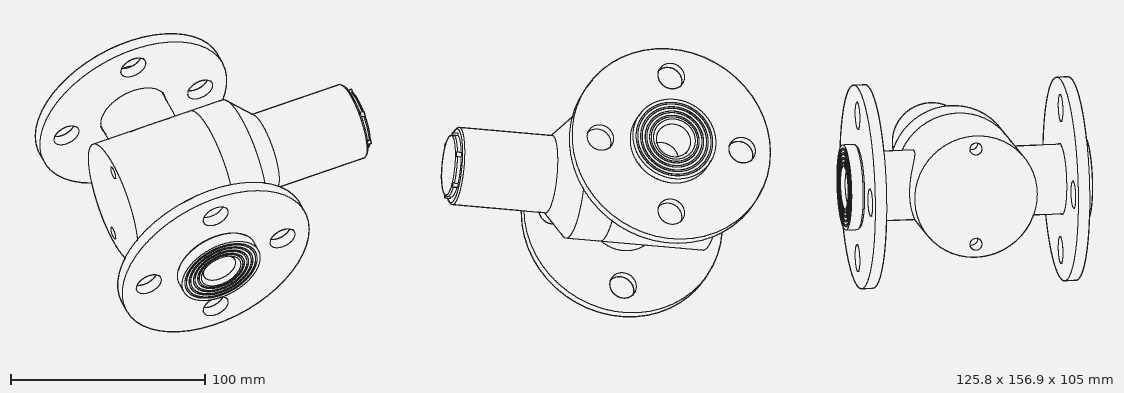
import cadquery as cq
import math


OVERALL_LENGTH = 156.9

HOUSING_DIAMETER = 64.0
HOUSING_FRONT_Y = -33.1
HOUSING_BACK_Y = 21.3
PIN_HOLE_DIAMETER = 6.3
PIN_HOLE_OFFSET = 25.1
PIN_HOLE_DEPTH = 12.5

OUTER_END_X = 62.9
PIPE_DIAMETER = 36.0
PIPE_BORE_DIAMETER = 18.0
BORE_FLOOR_X = 34.5
COLLAR_DIAMETER = 44.0
COLLAR_THICKNESS = 6.9
COLLAR_CHAMFER = 1.0
MOUTH_CHAMFER = 2.0
GROOVE_OUTER_DIAMETERS = (40.5, 35.8, 30.9, 26.2)
GROOVE_WIDTH = 0.86
GROOVE_DEPTH = 0.2
COLLAR_INNER_X = OUTER_END_X - COLLAR_THICKNESS

FLANGE_DIAMETER = 105.0
FLANGE_THICKNESS = 6.0
FLANGE_BORE_DIAMETER = 36.5
BOLT_CIRCLE_DIAMETER = 75.0
BOLT_HOLE_DIAMETER = 14.0
BOLT_HOLE_COUNT = 4

NECK_DIAMETER = 40.0
RIM_LENGTH = 18.0
NECK_END_Y = 101.5
NECK_CHAMFER = 1.0
CONE_START_Y = HOUSING_BACK_Y + RIM_LENGTH
CONE_LENGTH = (HOUSING_DIAMETER - NECK_DIAMETER) / 2

CAP_DIAMETER = 32.2
CAP_THICKNESS = OVERALL_LENGTH - FLANGE_DIAMETER / 2 - NECK_END_Y
CAP_CHAMFER_RADIAL = 0.6
CAP_CHAMFER_AXIAL = 1.0
RIB_DIAMETER = 2.5
RIB_TIP_DIAMETER = 34.2
RIB_TOP_SETBACK = 0.2
RIB_COUNT = 6


def cylinder_along_x(diameter, start, end):
    return cq.Workplane("YZ", origin=(start, 0, 0)).circle(diameter / 2).extrude(end - start)


def cylinder_along_y(diameter, start, end, x=0, z=0):
    plane = cq.Plane(origin=(x, start, z), xDir=(1, 0, 0), normal=(0, 1, 0))
    return cq.Workplane(plane).circle(diameter / 2).extrude(end - start)


def make_housing():
    housing = cylinder_along_y(HOUSING_DIAMETER, HOUSING_FRONT_Y, HOUSING_BACK_Y)
    for side in (-1, 1):
        housing = housing.cut(
            cylinder_along_y(
                PIN_HOLE_DIAMETER,
                HOUSING_FRONT_Y,
                HOUSING_FRONT_Y + PIN_HOLE_DEPTH,
                z=side * PIN_HOLE_OFFSET,
            )
        )
    return housing


def make_pipe_end():
    """Pipe on the +X side: blind bore, saddle at the inner end, grooved collar at the outer end."""
    profile = [
        (0, 0),
        (BORE_FLOOR_X, 0),
        (BORE_FLOOR_X, PIPE_BORE_DIAMETER / 2),
        (OUTER_END_X - MOUTH_CHAMFER, PIPE_BORE_DIAMETER / 2),
        (OUTER_END_X, PIPE_BORE_DIAMETER / 2 + MOUTH_CHAMFER),
        (OUTER_END_X, COLLAR_DIAMETER / 2),
        (COLLAR_INNER_X + COLLAR_CHAMFER, COLLAR_DIAMETER / 2),
        (COLLAR_INNER_X, COLLAR_DIAMETER / 2 - COLLAR_CHAMFER),
        (COLLAR_INNER_X, PIPE_DIAMETER / 2),
        (0, PIPE_DIAMETER / 2),
    ]
    pipe_end = cq.Workplane("XY").polyline(profile).close().revolve(360, (0, 0, 0), (1, 0, 0))
    pipe_end = pipe_end.cut(cylinder_along_y(HOUSING_DIAMETER, HOUSING_FRONT_Y, HOUSING_BACK_Y))
    for outer_diameter in GROOVE_OUTER_DIAMETERS:
        inner_diameter = outer_diameter - 2 * GROOVE_WIDTH
        groove_floor_x = OUTER_END_X - GROOVE_DEPTH
        groove = cylinder_along_x(outer_diameter, groove_floor_x, OUTER_END_X)
        groove = groove.cut(cylinder_along_x(inner_diameter, groove_floor_x, OUTER_END_X))
        pipe_end = pipe_end.cut(groove)
    return pipe_end


def make_flange():
    """Loose flange around the +X pipe end, with bolt holes on the Y and Z axes."""
    flange_inner_x = COLLAR_INNER_X - FLANGE_THICKNESS
    flange = cylinder_along_x(FLANGE_DIAMETER, flange_inner_x, COLLAR_INNER_X)
    flange = flange.cut(cylinder_along_x(FLANGE_BORE_DIAMETER, flange_inner_x, COLLAR_INNER_X))
    bolt_holes = (
        cq.Workplane("YZ", origin=(flange_inner_x, 0, 0))
        .polarArray(BOLT_CIRCLE_DIAMETER / 2, 0, 360, BOLT_HOLE_COUNT)
        .circle(BOLT_HOLE_DIAMETER / 2)
        .extrude(FLANGE_THICKNESS)
    )
    return flange.cut(bolt_holes)


def make_bonnet():
    profile = [
        (0, HOUSING_BACK_Y),
        (HOUSING_DIAMETER / 2, HOUSING_BACK_Y),
        (HOUSING_DIAMETER / 2, CONE_START_Y),
        (NECK_DIAMETER / 2, CONE_START_Y + CONE_LENGTH),
        (NECK_DIAMETER / 2, NECK_END_Y - NECK_CHAMFER),
        (NECK_DIAMETER / 2 - NECK_CHAMFER, NECK_END_Y),
        (0, NECK_END_Y),
    ]
    return cq.Workplane("XY").polyline(profile).close().revolve(360, (0, 0, 0), (0, 1, 0))


def make_cap():
    cap_end_y = NECK_END_Y + CAP_THICKNESS
    profile = [
        (0, NECK_END_Y),
        (CAP_DIAMETER / 2, NECK_END_Y),
        (CAP_DIAMETER / 2, cap_end_y - CAP_CHAMFER_AXIAL),
        (CAP_DIAMETER / 2 - CAP_CHAMFER_RADIAL, cap_end_y),
        (0, cap_end_y),
    ]
    cap = cq.Workplane("XY").polyline(profile).close().revolve(360, (0, 0, 0), (0, 1, 0))
    rib_center_radius = (RIB_TIP_DIAMETER - RIB_DIAMETER) / 2
    for index in range(RIB_COUNT):
        angle = 2 * math.pi * index / RIB_COUNT
        rib = cylinder_along_y(
            RIB_DIAMETER,
            NECK_END_Y,
            cap_end_y - RIB_TOP_SETBACK,
            x=rib_center_radius * math.cos(angle),
            z=rib_center_radius * math.sin(angle),
        )
        cap = cap.union(rib)
    return cap


housing = make_housing()
bonnet = make_bonnet()
cap = make_cap()

pipe_ends = []
flanges = []
for turn in (0, 180):
    pipe_ends.append(make_pipe_end().rotate((0, 0, 0), (0, 0, 1), turn).val())
    flanges.append(make_flange().rotate((0, 0, 0), (0, 0, 1), turn).val())

result = cq.Compound.makeCompound([housing.val(), bonnet.val(), cap.val(), *pipe_ends, *flanges])